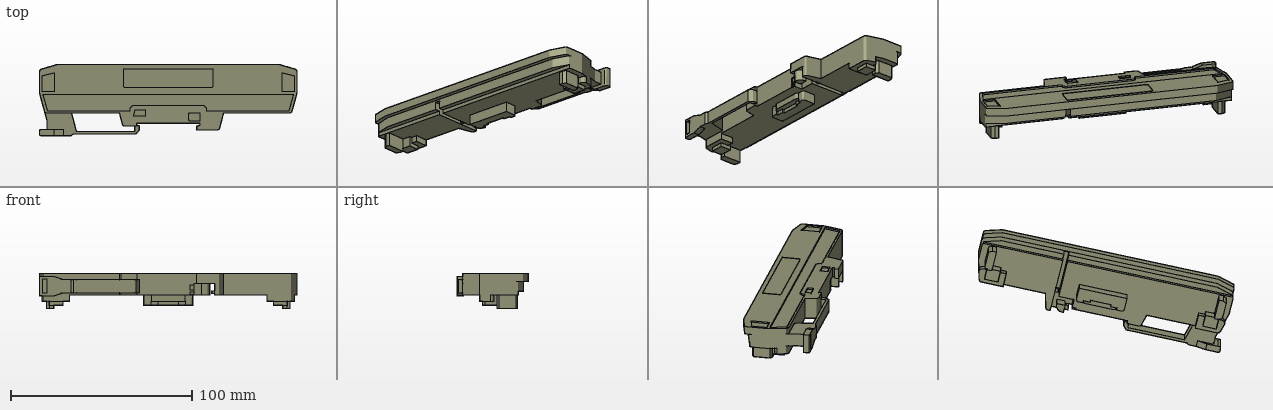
import cadquery as cq


HALF_LENGTH = 71.15
FRONT_Y = -27.0
BACK_CORNER_Y = -2.9
BACK_CHAMFER_RUN = 9.95
SIDE_BEND_Y = -16.0
FRONT_INSET = 3.0
FRONT_RADIUS = 1.9
BACK_RADIUS = 1.5
COVER_DEPTH = 4.5
MIDDLE_DEPTH = 9.9
HOUSING_DEPTH = 12.0
MIDDLE_BACK_Y = -2.6
LOWER_BACK_Y = -5.6

STRIP_BACK_Y = -16.65
STRIP_FRONT_Y = -25.65
STRIP_NOTCH_Y = -22.65
STRIP_BACK_HALF = 69.2
STRIP_FRONT_HALF = 66.7
STRIP_NOTCH_HALF = 21.0
NOTCH_CHAMFER = 1.4
STRIP_DEPTH = 0.9
LABEL_HALF = 24.75
LABEL_BACK_Y = -2.5
LABEL_FRONT_Y = -12.8
LABEL_CORNER = 0.6
LABEL_DEPTH = 0.2
WINDOW_OUTER_X = 69.7
WINDOW_INNER_X = 62.75
WINDOW_FRONT_Y = -14.9
WINDOW_OUTER_BACK_Y = -6.4
WINDOW_INNER_BACK_Y = -4.65
WINDOW_DEPTH = 0.8

RAIL_SEAT_Y = -32.6
HOOK_LIP_Y = -34.2
HOOK_LIP_X = 15.65
HOOK_FRONT_Y = -36.3
HOOK_SEAT_X = 17.45
LATCH_STOP_X = -17.35
HOOK_THROAT_Y = -33.5
FOOT_CORNER_RADIUS = 1.5
FOOT_ROOT_RADIUS = 0.8
FOOT_RIGHT_X = 30.6
FOOT_LEFT_X = -27.0
FOOT_LEAN = 0.26
STOP_FRONT_Y = -34.2
OVERLAP = 1.0
LEFT_POCKET_FRONT_X = -19.3
LEFT_POCKET_BACK_X = -18.4
LEFT_POCKET_RIGHT_X = -12.5
LEFT_POCKET_FRONT_Y = -28.6
LEFT_POCKET_BACK_Y = -25.2
RIGHT_POCKET_LEFT_X = 11.3
RIGHT_POCKET_FRONT_Y = -31.2
RIGHT_POCKET_BACK_Y = -26.9
POCKET_RADIUS = 0.5

HOLLOW_DEPTH = 5.6
HOLLOW_LEFT_X = 14.2
HOLLOW_RIGHT_X = 25.65
POST_LEFT_X = 18.3
POST_RIGHT_X = 22.95
POST_FRONT_Y = -35.8
POST_BACK_Y = -31.4
POST_LEFT_RADIUS = 0.3
POST_RIGHT_RADIUS = 3.9
STUB_LENGTH = 1.75
STUB_FRONT_Y = -25.0
STUB_BACK_Y = -23.0
STUB_TOP = 9.6
STUB_BOTTOM = 11.2
NOTCH_LEFT_X = 12.0
NOTCH_SETBACK = 0.8
NOTCH_DEPTH_RANGES = ((6.3, 9.3), (10.3, 11.6))

LATCH_TOP = 3.45
LATCH_BOTTOM = 10.7
LATCH_LEFT_X = -67.0
LATCH_BACK_RIGHT_X = -53.3
LATCH_FRONT_RIGHT_X = -50.7
STRAP_BACK_Y = -37.0
STRAP_FRONT_Y = -38.6
STRAP_STOP_X = -18.55
STRAP_TIP_X = -15.95
TIP_BACK_Y = -33.7
TIP_CHAMFER_Y = -36.3
TIP_FRONT_X = -17.9
TIP_RADIUS = 0.6
TIP_BEND_RADIUS = 1.2
HANDLE_RADIUS = 0.85
HANDLE_BACK_Y = -35.9
HANDLE_FRONT_Y = -39.45
HANDLE_TOP = 1.7
HANDLE_BOTTOM = 12.45
HANDLE_TAPER_START_X = -63.2
HANDLE_TAPER_END_X = -57.9
HANDLE_RIGHT_X = -53.7
HANDLE_RAMP_X = -52.4
SLOT_LEFT_X = -69.4
SLOT_RIGHT_X = -67.0
SLOT_TOP = 3.0
SLOT_BOTTOM = 10.8
SLOT_DEPTH = 3.2

LEG_DEPTH = 15.45
LEG_OUTER_X = 69.9
LEG_INNER_X = 54.5
LEG_BACK_Y = -19.0
LEG_RADIUS = 2.6
PLUG_DEPTH = 19.5
PLUG_OUTER_X = 67.4
PLUG_INNER_X = 63.15
PLUG_BACK_Y = -6.0
PLUG_FRONT_Y = -17.4
PLUG_BEVEL_X = 1.9
PLUG_BEVEL_Y = 1.0
TAB_DEPTH = 17.65
TAB_OUTER_X = 65.75
TAB_INNER_X = 58.1
TAB_FRONT_Y = -24.0
CENTRE_HALF = 13.55
CENTRE_BACK_Y = -17.4
CENTRE_FRONT_Y = -25.4
CENTRE_CORNER_RADIUS = 1.4
CENTRE_PAD_HALF = 9.5
CENTRE_PAD_DEPTH = 15.5
CENTRE_PAD_RADIUS = 1.6
CENTRE_PAD_FRONT_Y = -26.4
CENTRE_STEP_SETBACK = 1.2
CENTRE_STEP_HALVES = (CENTRE_PAD_HALF, 5.8)


def prism(points, top, bottom):
    """Plan outline extruded between two depths below the cover face."""
    return cq.Workplane("XY").workplane(offset=-bottom).polyline(points).close().extrude(bottom - top)


def block(x_range, y_range, top, bottom):
    """Rectangular block between two depths below the cover face."""
    (x0, x1), (y0, y1) = x_range, y_range
    return prism([(x0, y0), (x1, y0), (x1, y1), (x0, y1)], top, bottom)


def round_upright(body, corners, radius):
    """Rounds the vertical edges that stand at the given plan corners."""
    for x, y in corners:
        body = body.edges("|Z").edges(cq.NearestToPointSelector((x, y, 0))).fillet(radius)
    return body


def mirrored_outline(right_half):
    """Closed outline from its right-hand points, mirrored in the mid-plane."""
    return right_half + [(-x, y) for x, y in reversed(right_half)]


def both_ends(body):
    """The body together with its mirror image at the other end."""
    return body.union(body.mirror("YZ"))


def housing_layer(back_y, top, bottom):
    """One layer of the housing, with its chamfered back face at back_y."""
    outline = mirrored_outline([
        (HALF_LENGTH - BACK_CHAMFER_RUN, back_y),
        (HALF_LENGTH, back_y + BACK_CORNER_Y),
        (HALF_LENGTH, SIDE_BEND_Y),
        (HALF_LENGTH - FRONT_INSET, FRONT_Y),
    ])
    layer = prism(outline, top, bottom)
    front_corners = [(side * (HALF_LENGTH - FRONT_INSET), FRONT_Y) for side in (-1, 1)]
    back_corners = [(side * HALF_LENGTH, back_y + BACK_CORNER_Y) for side in (-1, 1)]
    layer = round_upright(layer, front_corners, FRONT_RADIUS)
    return round_upright(layer, back_corners, BACK_RADIUS)


def housing():
    """Housing block whose back face steps forward twice below the cover."""
    cover = housing_layer(0, 0, COVER_DEPTH)
    middle = housing_layer(MIDDLE_BACK_Y, COVER_DEPTH, MIDDLE_DEPTH)
    behind_lower = block((-HALF_LENGTH, HALF_LENGTH), (LOWER_BACK_Y, 0), MIDDLE_DEPTH, HOUSING_DEPTH)
    lower = housing_layer(MIDDLE_BACK_Y, MIDDLE_DEPTH, HOUSING_DEPTH).cut(behind_lower)
    return cover.union(middle).union(lower)


def end_feet():
    """Leg, plug and tab under each end of the housing."""
    leg = block((-LEG_OUTER_X, -LEG_INNER_X), (FRONT_Y, LEG_BACK_Y), HOUSING_DEPTH, LEG_DEPTH)
    leg = round_upright(leg, [(-LEG_OUTER_X, LEG_BACK_Y)], LEG_RADIUS)
    leg = leg.intersect(housing_layer(0, HOUSING_DEPTH, LEG_DEPTH))
    plug = prism(
        [
            (-PLUG_INNER_X, PLUG_BACK_Y),
            (-PLUG_OUTER_X + PLUG_BEVEL_X, PLUG_BACK_Y),
            (-PLUG_OUTER_X, PLUG_BACK_Y - PLUG_BEVEL_Y),
            (-PLUG_OUTER_X, PLUG_FRONT_Y + PLUG_BEVEL_Y),
            (-PLUG_OUTER_X + PLUG_BEVEL_X, PLUG_FRONT_Y),
            (-PLUG_INNER_X, PLUG_FRONT_Y),
        ],
        HOUSING_DEPTH,
        PLUG_DEPTH,
    )
    tab = block((-TAB_OUTER_X, -TAB_INNER_X), (TAB_FRONT_Y, PLUG_FRONT_Y), HOUSING_DEPTH, TAB_DEPTH)
    return both_ends(leg.union(plug).union(tab))


def centre_foot():
    """Foot under the middle: a shallow front pad, with steps cut back below it."""
    foot = block((-CENTRE_HALF, CENTRE_HALF), (CENTRE_FRONT_Y, CENTRE_BACK_Y), HOUSING_DEPTH, TAB_DEPTH)
    foot = foot.edges("|Z and <Y").fillet(CENTRE_CORNER_RADIUS)
    for count, half in enumerate(CENTRE_STEP_HALVES, start=1):
        step_back_y = CENTRE_FRONT_Y + count * CENTRE_STEP_SETBACK
        foot = foot.cut(block((-half, half), (CENTRE_FRONT_Y, step_back_y), CENTRE_PAD_DEPTH, TAB_DEPTH))
    pad = block(
        (-CENTRE_PAD_HALF, CENTRE_PAD_HALF),
        (CENTRE_PAD_FRONT_Y, CENTRE_BACK_Y),
        HOUSING_DEPTH,
        CENTRE_PAD_DEPTH,
    )
    return foot.union(pad.edges("|Z and <Y").fillet(CENTRE_PAD_RADIUS))


def rail_foot():
    """Rail seat between the latch stop on the left and the fixed hook on the right."""
    stop_corner = (FOOT_LEFT_X + FOOT_LEAN * (FRONT_Y - STOP_FRONT_Y), STOP_FRONT_Y)
    hook_corner = (FOOT_RIGHT_X - FOOT_LEAN * (FRONT_Y - HOOK_FRONT_Y), HOOK_FRONT_Y)
    outline = [
        (FOOT_LEFT_X, FRONT_Y + OVERLAP),
        (FOOT_LEFT_X, FRONT_Y),
        stop_corner,
        (LATCH_STOP_X, STOP_FRONT_Y),
        (LATCH_STOP_X, RAIL_SEAT_Y),
        (HOOK_SEAT_X, RAIL_SEAT_Y),
        (HOOK_SEAT_X, HOOK_THROAT_Y),
        (HOOK_LIP_X, HOOK_LIP_Y),
        (HOOK_LIP_X, HOOK_FRONT_Y),
        hook_corner,
        (FOOT_RIGHT_X, FRONT_Y),
        (FOOT_RIGHT_X, FRONT_Y + OVERLAP),
    ]
    foot = prism(outline, 0, HOUSING_DEPTH)
    foot = round_upright(foot, [stop_corner, hook_corner], FOOT_CORNER_RADIUS)
    return round_upright(foot, [(FOOT_LEFT_X, FRONT_Y), (FOOT_RIGHT_X, FRONT_Y)], FOOT_ROOT_RADIUS)


def hook_hollow():
    """Space under the fixed hook, open through the back as a narrow channel."""
    hollow = block((HOLLOW_LEFT_X, HOLLOW_RIGHT_X), (HOOK_FRONT_Y, FRONT_Y), HOLLOW_DEPTH, HOUSING_DEPTH)
    channel = block((POST_RIGHT_X, HOLLOW_RIGHT_X), (FRONT_Y, 0), HOLLOW_DEPTH, HOUSING_DEPTH)
    return hollow.union(channel)


def seat_notches():
    """Two small notches in the right-hand end of the rail seat face, beside the hollow."""
    upper, lower = [
        block((NOTCH_LEFT_X, HOLLOW_LEFT_X), (RAIL_SEAT_Y, RAIL_SEAT_Y + NOTCH_SETBACK), top, bottom)
        for top, bottom in NOTCH_DEPTH_RANGES
    ]
    return upper.union(lower)


def hook_post():
    """Post standing in the hollow, and a stub on the channel wall beside it."""
    post = block((POST_LEFT_X, POST_RIGHT_X), (POST_FRONT_Y, POST_BACK_Y), HOLLOW_DEPTH, HOUSING_DEPTH)
    post = round_upright(post, [(POST_LEFT_X, POST_FRONT_Y)], POST_LEFT_RADIUS)
    post = round_upright(post, [(POST_RIGHT_X, POST_FRONT_Y)], POST_RIGHT_RADIUS)
    stub = block(
        (HOLLOW_RIGHT_X - STUB_LENGTH, HOLLOW_RIGHT_X), (STUB_FRONT_Y, STUB_BACK_Y), STUB_TOP, STUB_BOTTOM)
    return post.union(stub)


def latch():
    """Sliding latch: slide plate, strap with a hooked tip, and a tall tapering handle."""
    side_slope = (FRONT_Y - SIDE_BEND_Y) / FRONT_INSET
    bend_y = SIDE_BEND_Y + side_slope * (LATCH_LEFT_X + HALF_LENGTH)
    slide = prism(
        [
            (-HALF_LENGTH, SIDE_BEND_Y),
            (LATCH_LEFT_X, bend_y),
            (LATCH_LEFT_X, HANDLE_BACK_Y),
            (HANDLE_RIGHT_X, STRAP_FRONT_Y),
            (LATCH_FRONT_RIGHT_X, STRAP_FRONT_Y),
            (LATCH_FRONT_RIGHT_X, STRAP_BACK_Y),
            (LATCH_BACK_RIGHT_X, FRONT_Y),
        ],
        LATCH_TOP,
        LATCH_BOTTOM,
    )
    strap = prism(
        [
            (LATCH_FRONT_RIGHT_X, STRAP_BACK_Y),
            (STRAP_STOP_X, STRAP_BACK_Y),
            (STRAP_STOP_X, STOP_FRONT_Y),
            (LATCH_STOP_X, STOP_FRONT_Y),
            (LATCH_STOP_X, TIP_BACK_Y),
            (STRAP_TIP_X, TIP_BACK_Y),
            (STRAP_TIP_X, TIP_CHAMFER_Y),
            (TIP_FRONT_X, STRAP_FRONT_Y),
            (LATCH_FRONT_RIGHT_X, STRAP_FRONT_Y),
        ],
        LATCH_TOP,
        LATCH_BOTTOM,
    )
    strap = round_upright(strap, [(STRAP_TIP_X, TIP_BACK_Y)], TIP_RADIUS)
    strap = round_upright(strap, [(STRAP_TIP_X, TIP_CHAMFER_Y)], TIP_BEND_RADIUS)
    return slide.union(strap).union(handle())


def handle():
    """Finger grip of the latch, tapering in height and notched on its front face."""
    plan = prism(
        [
            (-HALF_LENGTH, HANDLE_BACK_Y),
            (HANDLE_RAMP_X, HANDLE_BACK_Y),
            (HANDLE_RAMP_X, STRAP_FRONT_Y),
            (HANDLE_RIGHT_X, HANDLE_FRONT_Y),
            (-HALF_LENGTH, HANDLE_FRONT_Y),
        ],
        HANDLE_TOP,
        HANDLE_BOTTOM,
    )
    end_corners = [(-HALF_LENGTH, HANDLE_FRONT_Y), (-HALF_LENGTH, HANDLE_BACK_Y)]
    plan = round_upright(plan, end_corners, HANDLE_RADIUS)
    elevation = (
        cq.Workplane("XZ", origin=(0, HANDLE_BACK_Y, 0))
        .polyline([
            (-HALF_LENGTH, -HANDLE_TOP),
            (HANDLE_TAPER_START_X, -HANDLE_TOP),
            (HANDLE_TAPER_END_X, -LATCH_TOP),
            (HANDLE_RAMP_X, -LATCH_TOP),
            (HANDLE_RAMP_X, -LATCH_BOTTOM),
            (HANDLE_TAPER_END_X, -LATCH_BOTTOM),
            (HANDLE_TAPER_START_X, -HANDLE_BOTTOM),
            (-HALF_LENGTH, -HANDLE_BOTTOM),
        ])
        .close()
        .extrude(HANDLE_BACK_Y - HANDLE_FRONT_Y)
    )
    slot = prism(
        [
            (SLOT_LEFT_X, HANDLE_FRONT_Y),
            (SLOT_RIGHT_X, HANDLE_FRONT_Y),
            (SLOT_LEFT_X, HANDLE_FRONT_Y + SLOT_DEPTH),
        ],
        SLOT_TOP,
        SLOT_BOTTOM,
    )
    return plan.intersect(elevation).cut(slot)


def strip_recess():
    """Long shallow recess along the front of the cover, notched in the middle."""
    outline = mirrored_outline([
        (STRIP_BACK_HALF, STRIP_BACK_Y),
        (STRIP_FRONT_HALF, STRIP_FRONT_Y),
        (STRIP_NOTCH_HALF, STRIP_FRONT_Y),
        (STRIP_NOTCH_HALF, STRIP_NOTCH_Y - NOTCH_CHAMFER),
        (STRIP_NOTCH_HALF - NOTCH_CHAMFER, STRIP_NOTCH_Y),
    ])
    return prism(outline, 0, STRIP_DEPTH)


def label_recess():
    """Shallow label field with its two front corners cut off."""
    field = block((-LABEL_HALF, LABEL_HALF), (LABEL_FRONT_Y, LABEL_BACK_Y), 0, LABEL_DEPTH)
    return field.edges("|Z and <Y").chamfer(LABEL_CORNER)


def end_windows():
    """Small recess near each end of the cover, its back edge parallel to the chamfer."""
    window = prism(
        [
            (WINDOW_OUTER_X, WINDOW_FRONT_Y),
            (WINDOW_OUTER_X, WINDOW_OUTER_BACK_Y),
            (WINDOW_INNER_X, WINDOW_INNER_BACK_Y),
            (WINDOW_INNER_X, WINDOW_FRONT_Y),
        ],
        0,
        WINDOW_DEPTH,
    )
    return both_ends(window)


def foot_pockets():
    """The two small pockets in the top of the rail foot."""
    left = prism(
        [
            (LEFT_POCKET_FRONT_X, LEFT_POCKET_FRONT_Y),
            (LEFT_POCKET_RIGHT_X, LEFT_POCKET_FRONT_Y),
            (LEFT_POCKET_RIGHT_X, LEFT_POCKET_BACK_Y),
            (LEFT_POCKET_BACK_X, LEFT_POCKET_BACK_Y),
        ],
        0,
        WINDOW_DEPTH,
    )
    right = block(
        (RIGHT_POCKET_LEFT_X, HOOK_SEAT_X),
        (RIGHT_POCKET_FRONT_Y, RIGHT_POCKET_BACK_Y),
        0,
        WINDOW_DEPTH,
    )
    return left.union(right.edges("|Z and <X").fillet(POCKET_RADIUS))


body = housing().union(end_feet()).union(centre_foot()).union(rail_foot())
body = body.cut(hook_hollow()).cut(seat_notches()).union(hook_post()).union(latch())
result = body.cut(strip_recess()).cut(label_recess()).cut(end_windows()).cut(foot_pockets())